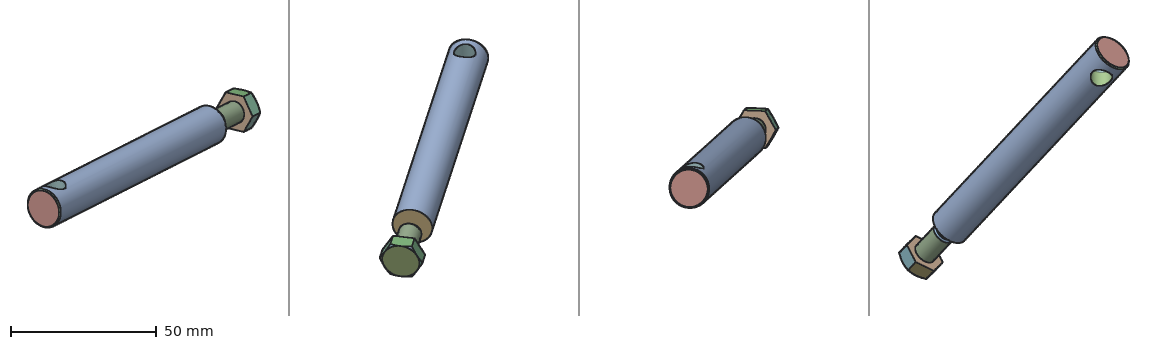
import cadquery as cq
import math

total_length = 120.5
front_y = -total_length / 2
back_y = total_length / 2

rod_diameter = 14.0
rod_length = 100.0
rod_chamfer = 0.5
cross_hole_diameter = 7.5
cross_hole_from_end = 7.0

head_across_flats = 13.0
head_height = 5.3
head_crown_angle = 30.0
shank_diameter = 8.0
shank_length = 12.0
tip_chamfer = 0.7

head_across_corners = head_across_flats / math.cos(math.radians(30))


def cylinder_toward_front(diameter, length, start_y):
    """Cylinder on the Y axis, running from start_y toward -Y."""
    return cq.Workplane("XZ", origin=(0, start_y, 0)).circle(diameter / 2).extrude(length)


def make_rod():
    rod = cylinder_toward_front(rod_diameter, rod_length, front_y + rod_length)
    rod = rod.faces("<Y").chamfer(rod_chamfer)
    cross_hole = (
        cq.Workplane("XY", origin=(0, front_y + cross_hole_from_end, 0))
        .circle(cross_hole_diameter / 2)
        .extrude(rod_diameter, both=True)
    )
    return rod.cut(cross_hole).solids()


def make_crown_envelope():
    """Turned shape that trims the outer corners of the hexagon head."""
    crown_radius = head_across_flats / 2
    corner_radius = head_across_corners / 2
    corner_drop = (corner_radius - crown_radius) * math.tan(math.radians(head_crown_angle))
    return (
        cq.Workplane("XY")
        .moveTo(0, back_y - head_height)
        .lineTo(corner_radius, back_y - head_height)
        .lineTo(corner_radius, back_y - corner_drop)
        .lineTo(crown_radius, back_y)
        .lineTo(0, back_y)
        .close()
        .revolve(360, (0, 0, 0), (0, 1, 0))
    )


def make_bolt():
    head = (
        cq.Workplane("XZ", origin=(0, back_y, 0))
        .polygon(6, head_across_corners)
        .extrude(head_height)
        .intersect(make_crown_envelope())
    )
    shank = cylinder_toward_front(shank_diameter, shank_length, back_y - head_height)
    shank = shank.faces("<Y").chamfer(tip_chamfer)
    return head.union(shank).solids()


rod = make_rod()
bolt = make_bolt()

result = cq.Compound.makeCompound([rod.val(), bolt.val()])